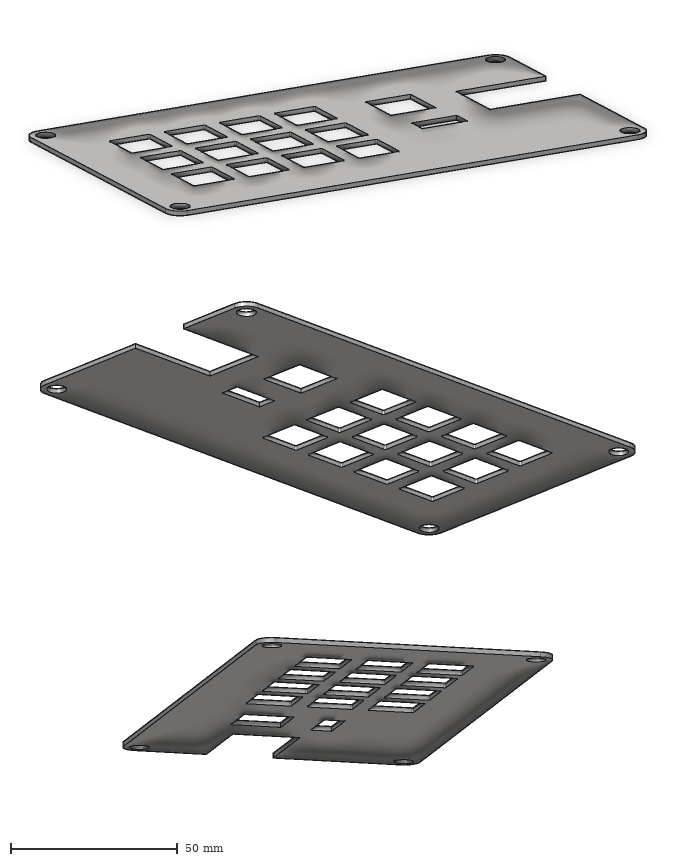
import cadquery as cq

WIDTH = 92.0
LENGTH = 165.0
THICKNESS = 1.5
CORNER_RADIUS = 5.0

HOLE_DIAMETER = 6.0
HOLE_INSET = CORNER_RADIUS

NOTCH_WIDTH = 20.8
NOTCH_DEPTH = 31.0
NOTCH_CENTER_X = -8.5

KEY_COLUMNS = 3
KEY_ROWS = 4
KEY_SIZE = 14.0
KEY_PITCH = 19.0
KEY_CORNER_RADIUS = 0.5
KEY_GRID_CENTER = (-0.7, -28.4)

SQUARE_SIZE = 15.5
SQUARE_CENTER = (-15.3, 30.4)
SLOT_WIDTH = 6.5
SLOT_LENGTH = 15.5
SLOT_CENTER = (5.5, 32.0)


def window(width, length, center):
    """Cutter for a rectangular opening through the plate."""
    return cq.Workplane("XY").center(*center).rect(width, length).extrude(THICKNESS)


def plate():
    blank = cq.Workplane("XY").rect(WIDTH, LENGTH).extrude(THICKNESS)
    return blank.edges("|Z").fillet(CORNER_RADIUS)


def mounting_holes():
    spacing_x = WIDTH - 2 * HOLE_INSET
    spacing_y = LENGTH - 2 * HOLE_INSET
    corners = cq.Workplane("XY").rect(spacing_x, spacing_y, forConstruction=True).vertices()
    return corners.circle(HOLE_DIAMETER / 2).extrude(THICKNESS)


def key_openings():
    grid = cq.Workplane("XY").center(*KEY_GRID_CENTER)
    grid = grid.rarray(KEY_PITCH, KEY_PITCH, KEY_COLUMNS, KEY_ROWS)
    return grid.rect(KEY_SIZE, KEY_SIZE).extrude(THICKNESS).edges("|Z").fillet(KEY_CORNER_RADIUS)


notch_center = (NOTCH_CENTER_X, (LENGTH - NOTCH_DEPTH) / 2)

result = (
    plate()
    .cut(mounting_holes())
    .cut(key_openings())
    .cut(window(NOTCH_WIDTH, NOTCH_DEPTH, notch_center))
    .cut(window(SQUARE_SIZE, SQUARE_SIZE, SQUARE_CENTER))
    .cut(window(SLOT_WIDTH, SLOT_LENGTH, SLOT_CENTER))
)